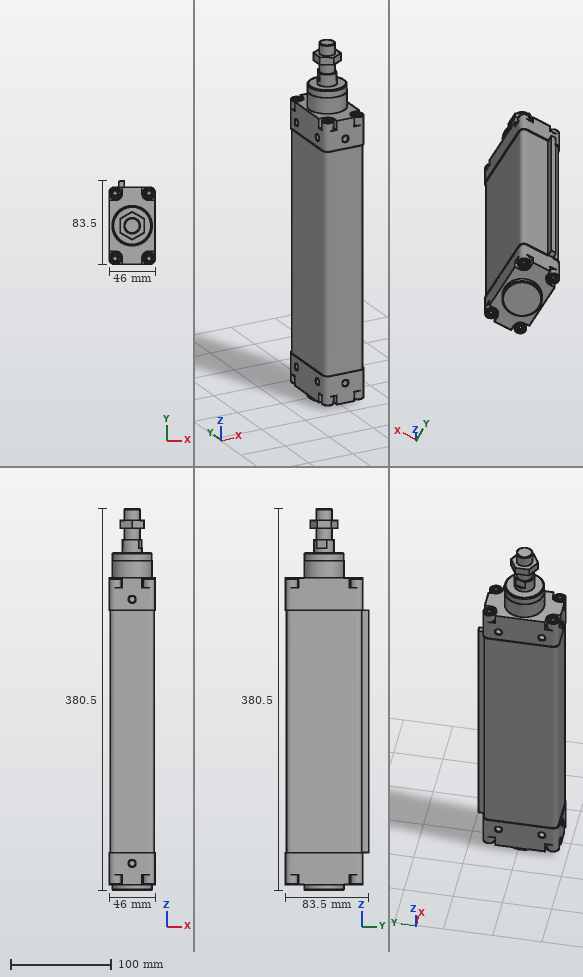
import cadquery as cq
import math

TOTAL_HEIGHT = 380.5
BOTTOM_CAP_END = 5.7
CAP_HEIGHT = 32.0
TOP_CAP_END = 311.5
BOTTOM_CAP_TOP = BOTTOM_CAP_END + CAP_HEIGHT
TOP_CAP_BOTTOM = TOP_CAP_END - CAP_HEIGHT

CAP_WIDTH = 46.0
CAP_DEPTH = 77.2
CAP_CORNER_RADIUS = 6.0
TUBE_INSET = 0.95
TUBE_LENGTH = TOP_CAP_BOTTOM - BOTTOM_CAP_TOP

OVERALL_DEPTH = 83.5
RAIL_WIDTH = 5.7
RAIL_CENTER_X = -10.5
RAIL_EDGE_RADIUS = 2.0
RAIL_FOOT_RADIUS = 2.3
RAIL_TOP_Y = OVERALL_DEPTH - CAP_DEPTH / 2
TUBE_REAR_Y = CAP_DEPTH / 2 - TUBE_INSET

COLLAR_DIAMETER = 40.0
COLLAR_TIP_DIAMETER = 39.5
COLLAR_CHAMFER = 1.0
COLLAR_STEP_Z = 328.8
COLLAR_TOP = 336.7

SCREW_X = CAP_WIDTH / 2 - CAP_CORNER_RADIUS
SCREW_Y = CAP_DEPTH / 2 - CAP_CORNER_RADIUS
SCREW_RECESS_WIDTH = 14.5
SCREW_HEAD_DIAMETER = 12.0
SCREW_HEAD_CHAMFER = 1.0
SCREW_HEAD_HEIGHT = 10.0
SCREW_SOCKET_MOUTH_DIAMETER = 6.5
SCREW_SOCKET_DIAMETER = 5.0
SCREW_SOCKET_DEPTH = 4.5

PORT_MOUTH_DIAMETER = 7.5
PORT_DEPTH = 9.5
PORT_FROM_CAP_END = 21.3
PORT_DIAMETER = 6.5
SIDE_PORT_Y = 22.0
DRILL_POINT_ANGLE = 118.0

ROD_DIAMETER = 20.0
ROD_SHOULDER_Z = 349.5
THREAD_DIAMETER = 16.0
THREAD_CHAMFER = 0.8
FLAT_BOTTOM = 341.3
FLATS_ACROSS = 17.0
FLATS_ANGLE = -16.5

NUT_ACROSS_FLATS = 24.0
NUT_BOTTOM = 361.0
NUT_TOP = 369.0
HEX_HALF_ANGLE = 30.0


def cylinder(diameter, bottom, top):
    return cq.Workplane("XY", origin=(0, 0, bottom)).circle(diameter / 2).extrude(top - bottom)


def rounded_block(width, depth, radius, bottom, top):
    block = cq.Workplane("XY", origin=(0, 0, bottom)).rect(width, depth).extrude(top - bottom)
    return block.edges("|Z").fillet(radius)


def corner_cylinders(diameter, bottom, top):
    corners = cq.Workplane("XY", origin=(0, 0, bottom)).rect(2 * SCREW_X, 2 * SCREW_Y, forConstruction=True)
    return corners.vertices().circle(diameter / 2).extrude(top - bottom)


def make_hole(mouth_diameter, diameter, depth, point_height, location, direction):
    """Blind hole with a 45 degree countersink and, beyond its depth, a point of the given height."""
    countersink_depth = (mouth_diameter - diameter) / 2
    half_profile = [
        (0, 0),
        (mouth_diameter / 2, 0),
        (diameter / 2, countersink_depth),
        (diameter / 2, depth),
        (0, depth + point_height),
    ]
    hole = cq.Workplane("XZ").polyline(half_profile).close().revolve(360, (0, 0, 0), (0, 1, 0))
    plane = cq.Plane(origin=location, normal=direction)
    return cq.Workplane(hole.val().moved(cq.Location(plane)))


def drill_point_height(diameter):
    return diameter / 2 / math.tan(math.radians(DRILL_POINT_ANGLE / 2))


def make_screw_recesses(seat, face):
    """Round pockets about the screw axes, opening straight out through both adjacent sides."""
    recesses = corner_cylinders(SCREW_RECESS_WIDTH, seat, face)
    outlet_reach = SCREW_RECESS_WIDTH / 2
    bottom = min(seat, face)
    for side_x in (-1, 1):
        for side_y in (-1, 1):
            recess_base = cq.Workplane("XY", origin=(side_x * SCREW_X, side_y * SCREW_Y, bottom))
            outlet_x = (
                recess_base.center(side_x * outlet_reach / 2, 0)
                .rect(outlet_reach, SCREW_RECESS_WIDTH)
                .extrude(SCREW_HEAD_HEIGHT)
            )
            outlet_y = (
                recess_base.center(0, side_y * outlet_reach / 2)
                .rect(SCREW_RECESS_WIDTH, outlet_reach)
                .extrude(SCREW_HEAD_HEIGHT)
            )
            recesses = recesses.union(outlet_x).union(outlet_y)
    return recesses


def make_screw_heads(seat, direction):
    face = seat + direction * SCREW_HEAD_HEIGHT
    heads = corner_cylinders(SCREW_HEAD_DIAMETER, seat, face)
    heads = heads.faces(">Z" if direction > 0 else "<Z").chamfer(SCREW_HEAD_CHAMFER)
    point_height = drill_point_height(SCREW_SOCKET_DIAMETER)
    for x in (-SCREW_X, SCREW_X):
        for y in (-SCREW_Y, SCREW_Y):
            socket = make_hole(
                SCREW_SOCKET_MOUTH_DIAMETER,
                SCREW_SOCKET_DIAMETER,
                SCREW_SOCKET_DEPTH,
                point_height,
                (x, y, face),
                (0, 0, -direction),
            )
            heads = heads.cut(socket)
    return heads


def cut_ports(cap, z):
    front_location = (0, -CAP_DEPTH / 2, z)
    cap = cap.cut(make_hole(PORT_MOUTH_DIAMETER, PORT_DIAMETER, PORT_DEPTH, 0, front_location, (0, 1, 0)))
    point_height = drill_point_height(PORT_DIAMETER)
    for y in (-SIDE_PORT_Y, SIDE_PORT_Y):
        side_location = (-CAP_WIDTH / 2, y, z)
        cap = cap.cut(
            make_hole(PORT_MOUTH_DIAMETER, PORT_DIAMETER, PORT_DEPTH, point_height, side_location, (1, 0, 0))
        )
    return cap


def make_cap(inner_end, outer_end):
    direction = math.copysign(1, outer_end - inner_end)
    seat = outer_end - direction * SCREW_HEAD_HEIGHT
    bottom = min(inner_end, outer_end)
    top = max(inner_end, outer_end)
    cap = rounded_block(CAP_WIDTH, CAP_DEPTH, CAP_CORNER_RADIUS, bottom, top)
    cap = cap.cut(make_screw_recesses(seat, outer_end))
    cap = cut_ports(cap, outer_end - direction * PORT_FROM_CAP_END)
    return cap.union(make_screw_heads(seat, direction))


def make_tube():
    tube = rounded_block(
        CAP_WIDTH - 2 * TUBE_INSET,
        CAP_DEPTH - 2 * TUBE_INSET,
        CAP_CORNER_RADIUS - TUBE_INSET,
        BOTTOM_CAP_TOP,
        TOP_CAP_BOTTOM,
    )
    rail = (
        cq.Workplane("XY", origin=(RAIL_CENTER_X, RAIL_TOP_Y / 2, BOTTOM_CAP_TOP))
        .rect(RAIL_WIDTH, RAIL_TOP_Y)
        .extrude(TUBE_LENGTH)
        .edges("|Z and >Y and <X")
        .fillet(RAIL_EDGE_RADIUS)
    )
    foot = (
        cq.Workplane("XY", origin=(RAIL_CENTER_X - RAIL_WIDTH / 2, TUBE_REAR_Y, BOTTOM_CAP_TOP))
        .lineTo(0, RAIL_FOOT_RADIUS)
        .radiusArc((-RAIL_FOOT_RADIUS, 0), RAIL_FOOT_RADIUS)
        .close()
        .extrude(TUBE_LENGTH)
    )
    return tube.union(rail).union(foot)


def make_housing():
    housing = make_tube()
    housing = housing.union(make_cap(TOP_CAP_BOTTOM, TOP_CAP_END))
    housing = housing.union(make_cap(BOTTOM_CAP_TOP, BOTTOM_CAP_END))
    housing = housing.union(cylinder(COLLAR_DIAMETER, TOP_CAP_END, COLLAR_STEP_Z))
    collar_tip = cylinder(COLLAR_TIP_DIAMETER, COLLAR_STEP_Z, COLLAR_TOP).faces(">Z").chamfer(COLLAR_CHAMFER)
    bottom_boss = cylinder(COLLAR_DIAMETER, 0, BOTTOM_CAP_END).faces("<Z").chamfer(COLLAR_CHAMFER)
    return housing.union(collar_tip).union(bottom_boss)


def make_rod():
    rod = cylinder(ROD_DIAMETER, COLLAR_TOP, FLAT_BOTTOM)
    flats = (
        cq.Workplane("XY", origin=(0, 0, FLAT_BOTTOM))
        .rect(FLATS_ACROSS, ROD_DIAMETER)
        .extrude(ROD_SHOULDER_Z - FLAT_BOTTOM)
        .rotate((0, 0, 0), (0, 0, 1), FLATS_ANGLE)
    )
    rod = rod.union(cylinder(ROD_DIAMETER, FLAT_BOTTOM, ROD_SHOULDER_Z).intersect(flats))
    thread = cylinder(THREAD_DIAMETER, ROD_SHOULDER_Z, TOTAL_HEIGHT).faces(">Z").chamfer(THREAD_CHAMFER)
    return rod.union(thread)


def make_nut():
    across_corners = NUT_ACROSS_FLATS / math.cos(math.radians(HEX_HALF_ANGLE))
    nut = (
        cq.Workplane("XY", origin=(0, 0, NUT_BOTTOM))
        .polygon(6, across_corners)
        .extrude(NUT_TOP - NUT_BOTTOM)
        .rotate((0, 0, 0), (0, 0, 1), HEX_HALF_ANGLE)
    )
    return nut.cut(cylinder(THREAD_DIAMETER, NUT_BOTTOM, NUT_TOP))


housing = make_housing()
rod = make_rod()
nut = make_nut()
result = cq.Compound.makeCompound([housing.val(), rod.val(), nut.val()])